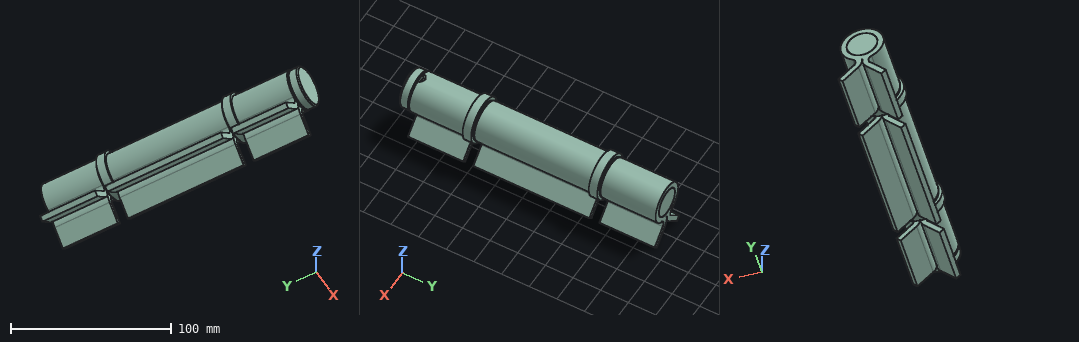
import cadquery as cq
import math

TOTAL_LENGTH = 186.0

BARREL_RADIUS = 28.0 / 2
BORE_RADIUS = 20.0 / 2
SHEET = BARREL_RADIUS - BORE_RADIUS
SLIT_WIDTH = 0.4
BEND_RADIUS = 3.3
LEG_SPREAD = 45
LEG_BOTTOM_Z = -31.0
END_KNUCKLE_LENGTH = 40.0
MIDDLE_KNUCKLE_LENGTH = 84.0
NOTCH_RADIUS = 3.5

FLANGE_RADIUS = 32.0 / 2
SPIGOT_RADIUS = 27.3 / 2
SPIGOT_LENGTH = 1.1

SHAFT_RADIUS = 19.7 / 2
HEAD_RADIUS = 27.3 / 2
HEAD_CHAMFER = 1.0
NECK_RADIUS = 27.0 / 2
NECK_LENGTH = 1.1
HEAD_LENGTH = 7.5

REAR_Y = TOTAL_LENGTH / 2
RING_LENGTH = (TOTAL_LENGTH - HEAD_LENGTH - MIDDLE_KNUCKLE_LENGTH - 2 * END_KNUCKLE_LENGTH) / 2
REAR_KNUCKLE_FRONT_Y = REAR_Y - END_KNUCKLE_LENGTH
MIDDLE_KNUCKLE_REAR_Y = REAR_KNUCKLE_FRONT_Y - RING_LENGTH
MIDDLE_KNUCKLE_FRONT_Y = MIDDLE_KNUCKLE_REAR_Y - MIDDLE_KNUCKLE_LENGTH
FRONT_KNUCKLE_REAR_Y = MIDDLE_KNUCKLE_FRONT_Y - RING_LENGTH
FRONT_KNUCKLE_FRONT_Y = FRONT_KNUCKLE_REAR_Y - END_KNUCKLE_LENGTH


def cylinder(radius, rear_y, length):
    """Cylinder on the hinge axis, running from rear_y towards -Y."""
    return cq.Workplane("XZ", origin=(0, rear_y, 0)).circle(radius).extrude(length)


def leg(side, rear_y, length):
    """One sheet leg: leaves the barrel downwards and bends outwards in one sweep."""
    spread = math.radians(LEG_SPREAD)
    slit_x = SLIT_WIDTH / 2
    outer_bend_radius = BEND_RADIUS + SHEET

    bend_x = slit_x + outer_bend_radius
    barrel_to_bend = BARREL_RADIUS + BEND_RADIUS
    bend_z = -math.sqrt(barrel_to_bend**2 - bend_x**2)

    neck_angle = 180
    bend_end_angle = neck_angle + LEG_SPREAD
    half_bend_angle = neck_angle + LEG_SPREAD / 2
    barrel_angle = math.degrees(math.atan2(-bend_z, -bend_x))

    def on_bend(radius, degrees):
        angle = math.radians(degrees)
        return (side * (bend_x + radius * math.cos(angle)), bend_z + radius * math.sin(angle))

    low_face_x = bend_x - outer_bend_radius * math.cos(spread)
    low_face_z = bend_z - outer_bend_radius * math.sin(spread)
    low_tip_x = low_face_x + (low_face_z - LEG_BOTTOM_Z) * math.tan(spread)
    low_tip = (side * low_tip_x, LEG_BOTTOM_Z)
    high_tip = (side * (low_tip_x + SHEET * math.cos(spread)), LEG_BOTTOM_Z + SHEET * math.sin(spread))

    root = (side * slit_x, -(BORE_RADIUS + SHEET / 2))

    return (
        cq.Workplane("XZ", origin=(0, rear_y, 0))
        .moveTo(*root)
        .lineTo(side * slit_x, bend_z)
        .threePointArc(on_bend(outer_bend_radius, half_bend_angle), on_bend(outer_bend_radius, bend_end_angle))
        .lineTo(*low_tip)
        .lineTo(*high_tip)
        .lineTo(*on_bend(BEND_RADIUS, bend_end_angle))
        .threePointArc(on_bend(BEND_RADIUS, neck_angle), on_bend(BEND_RADIUS, barrel_angle))
        .close()
        .extrude(length)
    )


def make_knuckle(rear_y, length):
    """Closed barrel with two legs that leave it side by side and then spread apart."""
    barrel = cylinder(BARREL_RADIUS, rear_y, length).cut(cylinder(BORE_RADIUS, rear_y, length))
    return barrel.union(leg(1, rear_y, length)).union(leg(-1, rear_y, length))


def make_notch():
    """Half-round notch through the top wall at the front end of the front knuckle."""
    return (
        cq.Workplane("XY", origin=(0, FRONT_KNUCKLE_FRONT_Y, 0))
        .circle(NOTCH_RADIUS)
        .extrude(BARREL_RADIUS)
    )


def make_ring(rear_y):
    """Spacer ring: a short spigot behind a wider flange, bored for the pin."""
    spigot = cylinder(SPIGOT_RADIUS, rear_y, SPIGOT_LENGTH)
    flange = cylinder(FLANGE_RADIUS, rear_y - SPIGOT_LENGTH, RING_LENGTH - SPIGOT_LENGTH)
    return spigot.union(flange).cut(cylinder(SHAFT_RADIUS, rear_y, RING_LENGTH))


def make_pin():
    """Full-length shaft with a neck and a chamfered head at the front."""
    shaft = cylinder(SHAFT_RADIUS, REAR_Y, TOTAL_LENGTH - HEAD_LENGTH)
    neck = cylinder(NECK_RADIUS, FRONT_KNUCKLE_FRONT_Y, NECK_LENGTH)
    head = cylinder(HEAD_RADIUS, FRONT_KNUCKLE_FRONT_Y - NECK_LENGTH, HEAD_LENGTH - NECK_LENGTH)
    head = head.faces("<Y").chamfer(HEAD_CHAMFER)
    return shaft.union(neck).union(head)


rear_knuckle = make_knuckle(REAR_Y, END_KNUCKLE_LENGTH)
middle_knuckle = make_knuckle(MIDDLE_KNUCKLE_REAR_Y, MIDDLE_KNUCKLE_LENGTH)
front_knuckle = make_knuckle(FRONT_KNUCKLE_REAR_Y, END_KNUCKLE_LENGTH).cut(make_notch())
knuckles = [rear_knuckle, middle_knuckle, front_knuckle]
rings = [make_ring(rear_y) for rear_y in (REAR_KNUCKLE_FRONT_Y, MIDDLE_KNUCKLE_FRONT_Y)]
pin = make_pin()

result = cq.Compound.makeCompound([body.val() for body in [*knuckles, *rings, pin]])